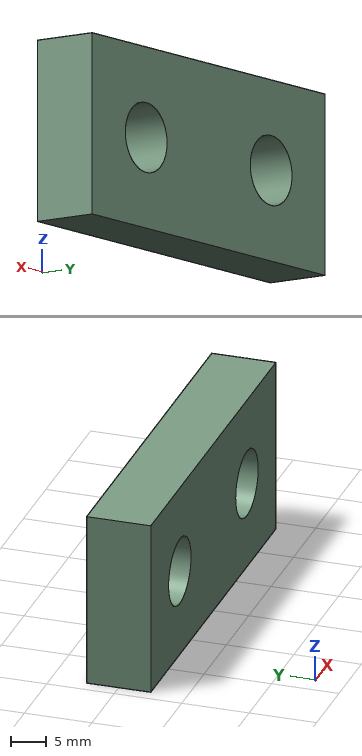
import cadquery as cq

length = 56.0
thickness = 9.5
height = 26.0

hole_diameter = 10.0
hole_spacing = 30.0

plate = cq.Workplane("XY").box(length, thickness, height)

result = (
    plate.faces("<Y")
    .workplane(centerOption="CenterOfBoundBox")
    .pushPoints([(-hole_spacing / 2, 0), (hole_spacing / 2, 0)])
    .hole(hole_diameter)
)